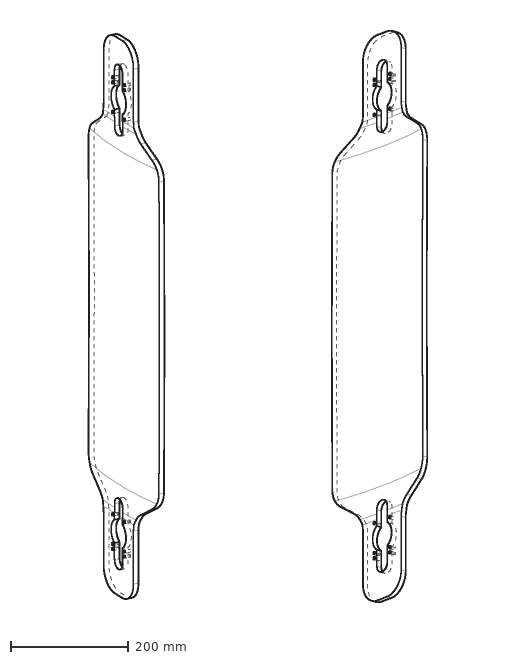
import cadquery as cq

LENGTH = 1016.0
WIDTH = 242.0
THICKNESS = 10.0
TOTAL_DEPTH = 21.0

ROCKER = 1.2
SAG = TOTAL_DEPTH - THICKNESS - ROCKER
BLEND_SAG = 8.0
ROCKER_END_Z = 305.0
BLEND_START_Z = 352.0
BLEND_END_Z = 362.0

TAB_WIDTH = 103.0
TAB_CORNER_RADIUS = 39.0
NECK_Z = 351.0
SHOULDER_Z = 307.0
SHOULDER_RADIUS = 41.0

TRUCK_Z = 395.0
SLOT_LENGTH = 129.0
SLOT_WIDTH = 27.0
TRUCK_HOLE_DIAMETER = 51.0
BOLT_DIAMETER = 5.0
BOLT_SPACING_X = 42.0
INNER_BOLT_Z = 367.0
BOLT_PITCHES = (54.0, 63.0)

THROUGH_DEPTH = 2 * TOTAL_DEPTH
SKETCH_Y = (TOTAL_DEPTH + THROUGH_DEPTH) / 2


def front_plane():
    """XZ sketch plane behind the board; positive extrusion goes along -Y."""
    return cq.Workplane("XZ", origin=(0, SKETCH_Y, 0))


def section(z, sag, rise=0.0):
    """Closed cross-section at height z whose sides are lifted by sag."""
    half = WIDTH / 2
    low_side = sag + rise
    top_side = low_side + THICKNESS
    start = cq.Workplane("XY", origin=(0, 0, z)).moveTo(-half, low_side)
    if sag == 0:
        lower = start.lineTo(half, low_side)
        upper = lower.lineTo(half, top_side).lineTo(-half, top_side)
    else:
        lower = start.threePointArc((0, rise), (half, low_side))
        upper = lower.lineTo(half, top_side).threePointArc((0, rise + THICKNESS), (-half, top_side))
    return upper.close()


def loft(sections, ruled):
    """Solid through the given cross-sections."""
    wires = [item.val() for item in sections]
    return cq.Workplane(cq.Solid.makeLoft(wires, ruled))


def upper_end():
    """Easing curved stretch, flattening blend and flat tab stock at the +Z end."""
    curved = loft([section(ROCKER_END_Z, SAG), section(BLEND_START_Z, BLEND_SAG)], ruled=True)
    blend = loft([section(BLEND_START_Z, BLEND_SAG), section(BLEND_END_Z, 0)], ruled=True)
    flat = section(BLEND_END_Z, 0).extrude(LENGTH / 2 - BLEND_END_Z)
    return curved.union(blend).union(flat)


def board_stock():
    """Full-width curved sheet before the outline is trimmed."""
    platform = loft(
        [section(-ROCKER_END_Z, SAG), section(0, SAG, ROCKER), section(ROCKER_END_Z, SAG)],
        ruled=False,
    )
    end = upper_end()
    return platform.union(end).union(end.mirror("XY"))


def outline():
    """Prism with the board outline: two rounded tabs joined to a wide platform."""
    quarter = [
        (TAB_WIDTH / 2, LENGTH / 2),
        (TAB_WIDTH / 2, NECK_Z),
        (WIDTH / 2, SHOULDER_Z),
    ]
    right = quarter + [(x, -z) for x, z in reversed(quarter)]
    left = [(-x, -z) for x, z in right]
    prism = front_plane().polyline(right + left).close().extrude(THROUGH_DEPTH)
    tab_corners = prism.edges("|Y and (>Z or <Z)")
    prism = tab_corners.fillet(TAB_CORNER_RADIUS)
    shoulder_points = [(sx * x, sz * z) for x, z in quarter[1:] for sx in (-1, 1) for sz in (-1, 1)]
    for x, z in shoulder_points:
        corner = cq.selectors.NearestToPointSelector((x, SKETCH_Y - THROUGH_DEPTH / 2, z))
        prism = prism.edges("|Y").edges(corner).fillet(SHOULDER_RADIUS)
    return prism


def truck_cutters(end):
    """Slot, round opening and six bolt holes for one tab; end is +1 or -1."""
    centre = (0, end * TRUCK_Z)
    slot = front_plane().center(*centre).slot2D(SLOT_LENGTH, SLOT_WIDTH, 90).extrude(THROUGH_DEPTH)
    opening = front_plane().center(*centre).circle(TRUCK_HOLE_DIAMETER / 2).extrude(THROUGH_DEPTH)
    rows = [INNER_BOLT_Z] + [INNER_BOLT_Z + pitch for pitch in BOLT_PITCHES]
    points = [(side * BOLT_SPACING_X / 2, end * z) for z in rows for side in (-1, 1)]
    bolts = front_plane().pushPoints(points).circle(BOLT_DIAMETER / 2).extrude(THROUGH_DEPTH)
    return slot.union(opening), bolts


result = board_stock().intersect(outline())
for end in (1, -1):
    for cutter in truck_cutters(end):
        result = result.cut(cutter)